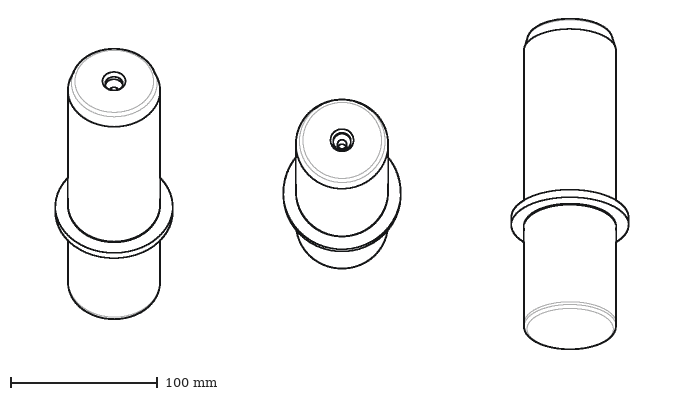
import cadquery as cq
import math

length = 225.0
post_radius = 63.0 / 2
flange_radius = 80.0 / 2
flange_bottom = 80.0
flange_thickness = 5.8
flange_top = flange_bottom + flange_thickness

groove_width = 1.0
groove_depth = 0.56
relief_radius = post_radius - groove_depth
lower_groove_bottom = flange_bottom - groove_width
upper_groove_top = flange_top + groove_width

bevel_height = 0.56
bevel_inset = 0.2
bevel_radius = post_radius - bevel_inset

lead_height = 9.7
lead_angle = math.radians(15)
lead_base = length - lead_height
lead_top_radius = bevel_radius - lead_height * math.tan(lead_angle)
top_fillet = 2.5

taper_height = 4.0
taper_inset = 0.11
bottom_fillet = 2.0

cone_angle = math.radians(30)
mouth_radius = 7.9
recess_radius = 6.0
recess_height = 2.7
pilot_radius = 3.2
hole_depth = 22.5


def revolve_profile(points):
    """Turn a closed (radius, height) half profile about the Z axis."""
    return cq.Workplane("XZ").polyline(points).close().revolve(360, (0, 0, 0), (0, 1, 0))


def make_body():
    """Post, flange and lead-in taper, with both end rims rounded."""
    body = revolve_profile([
        (0, 0),
        (post_radius - taper_inset, 0),
        (post_radius, taper_height),
        (post_radius, lower_groove_bottom),
        (relief_radius, lower_groove_bottom),
        (relief_radius, flange_bottom),
        (flange_radius, flange_bottom),
        (flange_radius, flange_top),
        (relief_radius, flange_top),
        (relief_radius, upper_groove_top),
        (bevel_radius, upper_groove_top),
        (post_radius, upper_groove_top + bevel_height),
        (post_radius, lead_base - bevel_height),
        (bevel_radius, lead_base),
        (lead_top_radius, length),
        (0, length),
    ])
    body = body.faces(">Z").edges().fillet(top_fillet)
    return body.faces("<Z").edges().fillet(bottom_fillet)


def make_centre_hole():
    """Solid to remove for the centre hole."""
    recess_top = length - (mouth_radius - recess_radius) / math.tan(cone_angle)
    recess_bottom = recess_top - recess_height
    pilot_top = recess_bottom - (recess_radius - pilot_radius) / math.tan(cone_angle)
    pilot_bottom = length - hole_depth
    return revolve_profile([
        (0, length),
        (mouth_radius, length),
        (recess_radius, recess_top),
        (recess_radius, recess_bottom),
        (pilot_radius, pilot_top),
        (pilot_radius, pilot_bottom),
        (0, pilot_bottom),
    ])


result = make_body().cut(make_centre_hole())